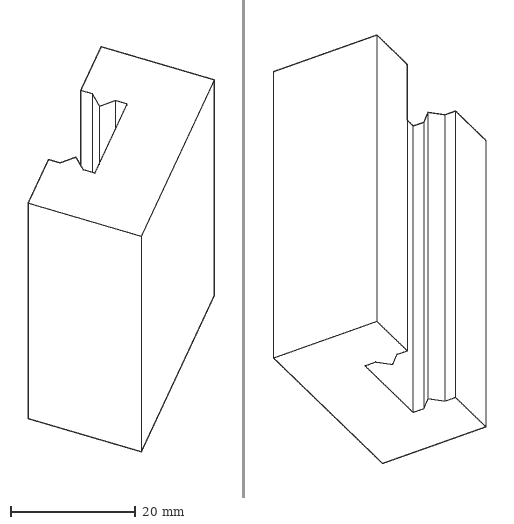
import cadquery as cq

depth = 19.5
width = 34.0
height = 57.0

slot_depth = 8.0
slot_width = 15.0

ridge_height = 2.0
ridge_base = 2 * ridge_height

front_x = -depth / 2
slot_floor_x = front_x + slot_depth
ridge_x = front_x + slot_depth / 2
wall_y = slot_width / 2


def make_block():
    return cq.Workplane("XY").box(depth, width, height)


def make_slot():
    slot = cq.Workplane("XY").box(slot_depth, slot_width, height)
    return slot.translate(((front_x + slot_floor_x) / 2, 0, 0))


def make_ridge(side):
    """Triangular ridge on the slot wall at +Y (side=1) or -Y (side=-1)."""
    profile = [
        (ridge_x - ridge_base / 2, side * wall_y),
        (ridge_x, side * (wall_y - ridge_height)),
        (ridge_x + ridge_base / 2, side * wall_y),
    ]
    return cq.Workplane("XY").polyline(profile).close().extrude(height / 2, both=True)


result = make_block().cut(make_slot())
for side in (1, -1):
    result = result.union(make_ridge(side))